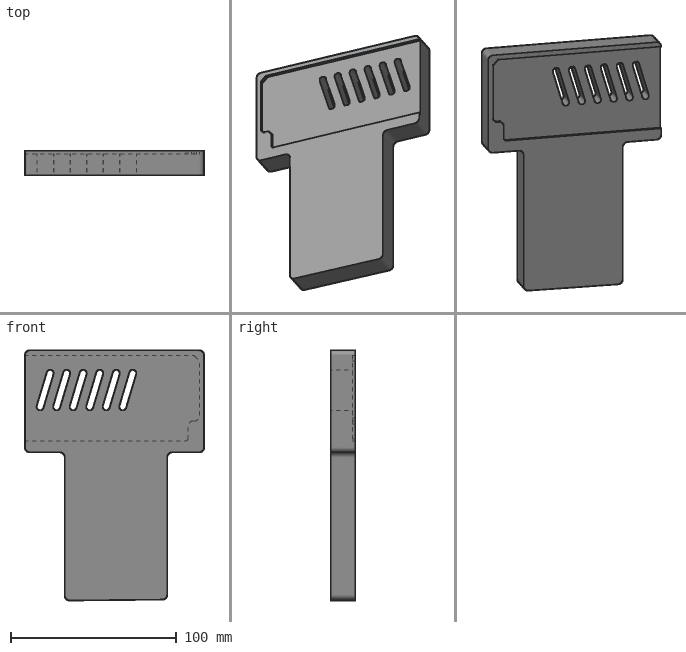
import cadquery as cq
import math

head_width = 108.0
total_height = 151.0
thickness = 15.0
head_height = 61.6
handle_left = 24.0
handle_width = 61.9
corner_radius = 3.0
bottom_rise = 0.6

slot_count = 6
slot_pitch = 10.0
slot_diameter = 4.0
slot_run = 6.0
slot_rise = 20.2
first_slot_x = 9.2
slot_bottom_z = 116.8

pocket_depth = 2.0
pocket_rim = 3.0
pocket_height = 51.6
top_bevel = 3.3
lug_height = 10.3
lug_foot_bevel = 1.2
lug_lower_bevel = 2.0
lug_upper_bevel = 1.8
lug_ledge = 3.0

head_bottom = total_height - head_height
handle_right = handle_left + handle_width


def make_body():
    """T-shaped plate with every corner of its outline rounded."""
    outline = [
        (0, total_height),
        (head_width, total_height),
        (head_width, head_bottom),
        (handle_right, head_bottom),
        (handle_right, bottom_rise),
        (handle_left, 0),
        (handle_left, head_bottom),
        (0, head_bottom),
    ]
    plate = cq.Workplane("XZ").polyline(outline).close().extrude(-thickness)
    return plate.edges("|Y").fillet(corner_radius)


def make_slots():
    """Parallel round-ended slots that pass right through the head."""
    length = math.hypot(slot_run, slot_rise) + slot_diameter
    angle = math.degrees(math.atan2(slot_rise, slot_run))
    middle_z = slot_bottom_z + slot_rise / 2
    centers = [
        (first_slot_x + slot_run / 2 + i * slot_pitch, middle_z)
        for i in range(slot_count)
    ]
    return (
        cq.Workplane("XZ")
        .pushPoints(centers)
        .slot2D(length, slot_diameter, angle)
        .extrude(-thickness)
    )


def make_pocket():
    """Pocket with a beveled upper corner and a stepped lug in its lower right corner."""
    top = total_height - pocket_rim
    bottom = top - pocket_height
    right = head_width - pocket_rim
    lug_shoulder = bottom + lug_height
    ledge_z = lug_shoulder + lug_lower_bevel
    lug_top = ledge_z + lug_upper_bevel
    ledge_right = right - lug_upper_bevel
    ledge_left = ledge_right - lug_ledge
    lug_face = ledge_left - lug_lower_bevel
    outline = [
        (0, top),
        (right - top_bevel, top),
        (right, top - top_bevel),
        (right, lug_top),
        (ledge_right, ledge_z),
        (ledge_left, ledge_z),
        (lug_face, lug_shoulder),
        (lug_face, bottom + lug_foot_bevel),
        (lug_face - lug_foot_bevel, bottom),
        (0, bottom),
    ]
    floor = cq.Workplane("XZ", origin=(0, thickness - pocket_depth, 0))
    return floor.polyline(outline).close().extrude(-pocket_depth)


result = make_body().cut(make_slots()).cut(make_pocket())